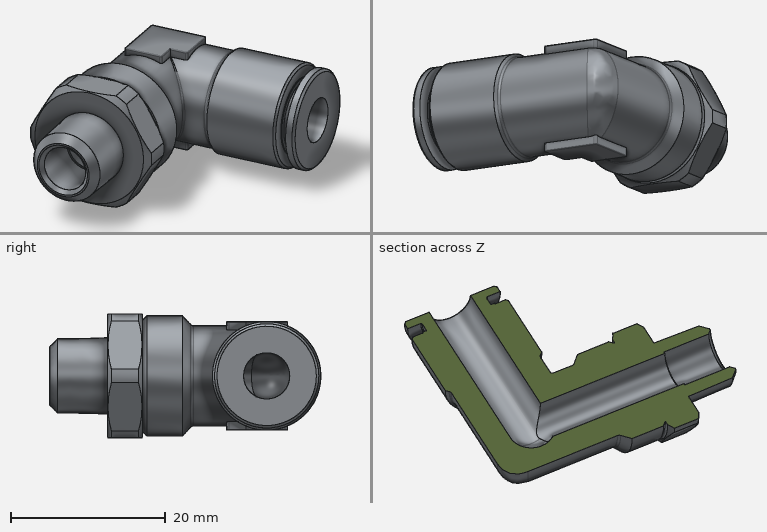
import cadquery as cq
import math


PIPE_RADIUS = 6.5
CORNER_TANGENCY = 0.547
CROTCH_FILLET = 0.25

SHOULDER_START = 9.7
SHOULDER_FILLET = 0.5

SLEEVE_RADIUS = 7.02
SLEEVE_FULL = 10.18
SLEEVE_END = 20.0
SLEEVE_CHAMFER = 0.28
LIP_RADIUS = 5.25
LIP_END = 20.15
NECK_RADIUS = 4.7
NECK_FLARE = 0.15
RING_RADIUS = 6.75
RING_START = 21.45
RING_CHAMFER = 0.3
RING_END = 22.67

COLLAR_RADIUS = 7.8
COLLAR_FULL = 10.9
COLLAR_CHAMFER = 0.55
HEX_START = 16.05
HEX_END = 20.6
HEX_ACROSS_FLATS = 16.0
HEX_CORNER_RADIUS = 8.78
HEX_FACE_RADIUS = 7.85
HEX_CHAMFER_ANGLE = 30.0
STUD_ROOT_RADIUS = 4.95
STUD_TIP_RADIUS = 4.8
STUD_END = 28.08
STUD_CHAMFER = 1.05

BRANCH_BORE_RADIUS = 3.0
BRANCH_BORE_START = -0.5
STUD_BORE_RADIUS = 2.75
STUD_BORE_START = 0.7
STUD_COUNTERBORE_RADIUS = 3.0
STUD_COUNTERBORE_DEPTH = 7.02
STUD_MOUTH_RADIUS = 3.5

PAD_HEIGHT = 7.02
PAD_OUTER = 2.7
PAD_REACH = 5.2
PAD_CORNER_RADIUS = 0.3
PAD_EDGE_FILLET = 0.1


def along_branch(outline):
    """Turn an outline of (distance, radius) points about the X axis."""
    return outline.close().revolve(360, (0, 0, 0), (1, 0, 0))


def along_stud(solid):
    """Swing a solid from the +X axis onto the -Y axis."""
    return solid.rotate((0, 0, 0), (0, 0, 1), -90)


def shoulder_outline(full_distance, full_radius):
    """Start an outline on the pipe and lead it over a filleted cone to its larger radius."""
    cone_angle = math.atan2(full_radius - PIPE_RADIUS, full_distance - SHOULDER_START)
    tangent = SHOULDER_FILLET * math.tan(cone_angle / 2)
    arc_start = SHOULDER_START - tangent

    def fillet_point(angle):
        distance = arc_start + SHOULDER_FILLET * math.sin(angle)
        radius = PIPE_RADIUS + SHOULDER_FILLET * (1 - math.cos(angle))
        return distance, radius

    return (
        cq.Workplane("XY")
        .moveTo(-PIPE_RADIUS, 0)
        .lineTo(-PIPE_RADIUS, PIPE_RADIUS)
        .lineTo(arc_start, PIPE_RADIUS)
        .threePointArc(fillet_point(cone_angle / 2), fillet_point(cone_angle))
        .lineTo(full_distance, full_radius)
    )


def behind_tangency(solid):
    """Cut the end of the +X pipe along the plane where the rounded corner leaves it."""
    size = 4 * PIPE_RADIUS
    lean = math.degrees(math.atan(CORNER_TANGENCY))
    cutter = cq.Workplane("XY").box(size, size, size).translate((-size / 2, 0, 0))
    return solid.cut(cutter.rotate((0, 0, 0), (0, 0, 1), lean))


def branch():
    outline = (
        shoulder_outline(SLEEVE_FULL, SLEEVE_RADIUS)
        .lineTo(SLEEVE_END - SLEEVE_CHAMFER, SLEEVE_RADIUS)
        .lineTo(SLEEVE_END, SLEEVE_RADIUS - SLEEVE_CHAMFER)
        .lineTo(SLEEVE_END, LIP_RADIUS)
        .lineTo(LIP_END, LIP_RADIUS)
        .lineTo(LIP_END, NECK_RADIUS)
        .lineTo(RING_START - NECK_FLARE, NECK_RADIUS)
        .lineTo(RING_START, NECK_RADIUS + NECK_FLARE)
        .lineTo(RING_START, RING_RADIUS)
        .lineTo(RING_END - RING_CHAMFER, RING_RADIUS)
        .lineTo(RING_END, RING_RADIUS - RING_CHAMFER)
        .lineTo(RING_END, 0)
    )
    return behind_tangency(along_branch(outline))


def collar():
    outline = (
        shoulder_outline(COLLAR_FULL, COLLAR_RADIUS)
        .lineTo(HEX_START - COLLAR_CHAMFER, COLLAR_RADIUS)
        .lineTo(HEX_START, COLLAR_RADIUS - COLLAR_CHAMFER)
        .lineTo(HEX_START, 0)
    )
    return behind_tangency(along_branch(outline)).rotate((0, 0, 0), (1, -1, 0), 180)


def hexagon():
    across_corners = HEX_ACROSS_FLATS / math.cos(math.pi / 6)
    prism = (
        cq.Workplane("XZ", origin=(0, -HEX_START, 0))
        .polygon(6, across_corners)
        .extrude(HEX_END - HEX_START)
    )
    drop = (HEX_CORNER_RADIUS - HEX_FACE_RADIUS) * math.tan(math.radians(HEX_CHAMFER_ANGLE))
    envelope = (
        cq.Workplane("XY")
        .moveTo(HEX_START, 0)
        .lineTo(HEX_START, HEX_FACE_RADIUS)
        .lineTo(HEX_START + drop, HEX_CORNER_RADIUS)
        .lineTo(HEX_END - drop, HEX_CORNER_RADIUS)
        .lineTo(HEX_END, HEX_FACE_RADIUS)
        .lineTo(HEX_END, 0)
    )
    return prism.intersect(along_stud(along_branch(envelope)))


def stud():
    outline = (
        cq.Workplane("XY")
        .moveTo(HEX_END, 0)
        .lineTo(HEX_END, STUD_ROOT_RADIUS)
        .lineTo(STUD_END - STUD_CHAMFER, STUD_TIP_RADIUS)
        .lineTo(STUD_END, STUD_TIP_RADIUS - STUD_CHAMFER)
        .lineTo(STUD_END, 0)
    )
    return along_stud(along_branch(outline))


def corner():
    """Ellipsoid tangent to both pipes, which rounds off the outside of the elbow."""
    outward = math.sqrt(1 + CORNER_TANGENCY)
    sideways = math.sqrt(1 - CORNER_TANGENCY)
    stretch = cq.Matrix([[outward, 0, 0, 0], [0, sideways, 0, 0], [0, 0, 1, 0]])
    ball = cq.Workplane("XY").sphere(PIPE_RADIUS).rotate((0, 0, 0), (0, 1, 1), 180).val()
    ellipsoid = cq.Workplane(ball.transformGeometry(stretch)).rotate((0, 0, 0), (0, 0, 1), 135)
    far = 2 * PIPE_RADIUS
    wedge = (
        cq.Workplane("XY", origin=(0, 0, -far))
        .polyline([(0, 0), (-CORNER_TANGENCY * far, far), (-far, far), (-far, CORNER_TANGENCY * far)])
        .close()
        .extrude(2 * far)
    )
    return ellipsoid.intersect(wedge)


def pads():
    """L-shaped plate through the elbow, which stands out as one pad above and one below."""
    plate = (
        cq.Workplane("XY", origin=(0, 0, -PAD_HEIGHT))
        .moveTo(-PAD_OUTER, PAD_OUTER)
        .lineTo(PAD_REACH, PAD_OUTER)
        .lineTo(PAD_REACH, -PAD_OUTER)
        .lineTo(PAD_OUTER, -PAD_OUTER)
        .lineTo(PAD_OUTER, -PAD_REACH)
        .lineTo(-PAD_OUTER, -PAD_REACH)
        .close()
        .extrude(2 * PAD_HEIGHT)
    )
    notch = cq.selectors.NearestToPointSelector((PAD_OUTER, -PAD_OUTER, 0))
    upright = cq.selectors.ParallelDirSelector(cq.Vector(0, 0, 1))
    outer_corners = cq.selectors.SubtractSelector(upright, notch)
    plate = plate.edges(outer_corners).fillet(PAD_CORNER_RADIUS)
    return plate.faces("|Z").edges().fillet(PAD_EDGE_FILLET)


def branch_bore():
    """Bore from a ball end inside the elbow out through the release ring."""
    half_root = BRANCH_BORE_RADIUS * math.sqrt(0.5)
    outline = (
        cq.Workplane("XY")
        .moveTo(BRANCH_BORE_START - BRANCH_BORE_RADIUS, 0)
        .threePointArc((BRANCH_BORE_START - half_root, half_root), (BRANCH_BORE_START, BRANCH_BORE_RADIUS))
        .lineTo(RING_END, BRANCH_BORE_RADIUS)
        .lineTo(RING_END, 0)
    )
    return along_branch(outline)


def stud_bore():
    mouth_depth = STUD_MOUTH_RADIUS - STUD_COUNTERBORE_RADIUS
    outline = (
        cq.Workplane("XY")
        .moveTo(STUD_BORE_START, 0)
        .lineTo(STUD_BORE_START, STUD_BORE_RADIUS)
        .lineTo(STUD_END - STUD_COUNTERBORE_DEPTH, STUD_BORE_RADIUS)
        .lineTo(STUD_END - STUD_COUNTERBORE_DEPTH, STUD_COUNTERBORE_RADIUS)
        .lineTo(STUD_END - mouth_depth, STUD_COUNTERBORE_RADIUS)
        .lineTo(STUD_END, STUD_MOUTH_RADIUS)
        .lineTo(STUD_END, 0)
    )
    return along_stud(along_branch(outline))


crotch = cq.selectors.BoxSelector((0, 0, -PIPE_RADIUS), (PIPE_RADIUS, -PIPE_RADIUS, PIPE_RADIUS))
elbow = branch().union(collar()).union(corner())
elbow = elbow.union(hexagon()).union(stud())
elbow = elbow.edges(crotch).fillet(CROTCH_FILLET).union(pads())
result = elbow.cut(stud_bore()).cut(branch_bore())